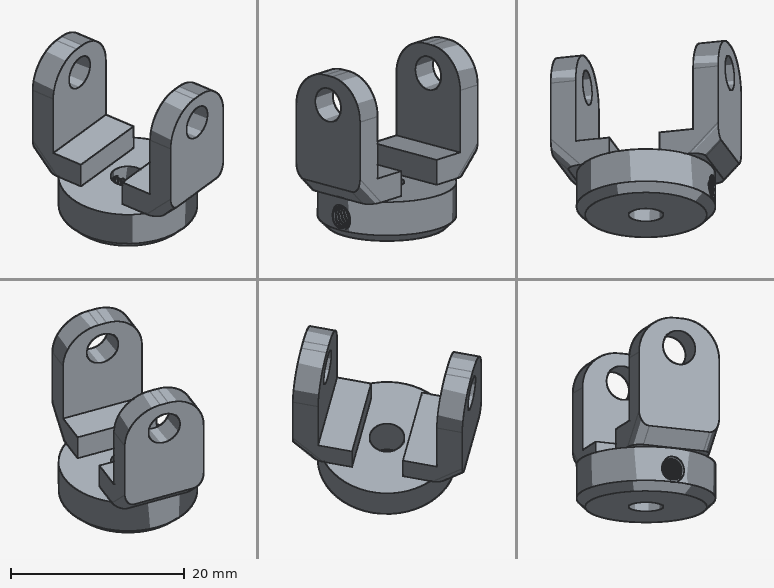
import cadquery as cq
import math

BASE_DIAMETER = 16.0
BASE_HEIGHT = 5.0
BASE_CHAMFER = 1.0
BORE_DIAMETER = 4.0

FORK_SPAN = 20.0
FORK_TOP = 20.0
ARM_WIDTH = 10.0
ARM_THICKNESS = 3.0
ARM_TOP_RADIUS = 4.5
FOOT_GAP = 6.0
FOOT_HEIGHT = 3.0
HEEL_CHAMFER = 1.8
HEEL_FILLET = 1.25
PIN_DIAMETER = 4.0
PIN_HEIGHT = 16.5

THREAD_MINOR_DIAMETER = 2.52
THREAD_MAJOR_DIAMETER = 3.0
THREAD_PITCH = 0.5
THREAD_ROOT_FLAT = THREAD_PITCH / 8
THREAD_FLANK_ANGLE = 30.0
THREAD_OVERRUN = 0.5
THREAD_GROOVE_OVERLAP = 0.05
THREAD_START_ANGLE = 180.0
SCREW_HEIGHT = BASE_HEIGHT / 2

HALF_SPAN = FORK_SPAN / 2


def make_base():
    """Disc standing on the XY plane, chamfered around its bottom edge."""
    disc = cq.Workplane("XY").circle(BASE_DIAMETER / 2).extrude(BASE_HEIGHT)
    return disc.faces("<Z").edges().chamfer(BASE_CHAMFER)


def make_arm():
    """Left arm: an L-shaped bar with a bevelled heel and a rounded top."""
    inner_face = -HALF_SPAN + ARM_THICKNESS
    foot_end = -FOOT_GAP / 2
    foot_top = BASE_HEIGHT + FOOT_HEIGHT
    outline = [
        (-HALF_SPAN + HEEL_CHAMFER, BASE_HEIGHT),
        (foot_end, BASE_HEIGHT),
        (foot_end, foot_top),
        (inner_face, foot_top),
        (inner_face, FORK_TOP),
        (-HALF_SPAN, FORK_TOP),
        (-HALF_SPAN, BASE_HEIGHT + HEEL_CHAMFER),
    ]
    arm = cq.Workplane("XZ").polyline(outline).close().extrude(ARM_WIDTH / 2, both=True)
    arm = arm.faces(">Z").edges("|X").fillet(ARM_TOP_RADIUS)

    heel_face = cq.selectors.DirectionMinMaxSelector(cq.Vector(-1, 0, -1), True)
    sloping_edges = cq.selectors.PerpendicularDirSelector(cq.Vector(0, 1, 0))
    return arm.faces(heel_face).edges(sloping_edges).fillet(HEEL_FILLET)


def make_pin_hole():
    """Cylinder along X that passes through both arms."""
    workplane = cq.Workplane("YZ").center(0, PIN_HEIGHT)
    return workplane.circle(PIN_DIAMETER / 2).extrude(HALF_SPAN, both=True)


def make_screw_hole():
    """Plain minor-diameter hole from the -X side into the central bore."""
    workplane = cq.Workplane("YZ").center(0, SCREW_HEIGHT)
    return workplane.circle(THREAD_MINOR_DIAMETER / 2).extrude(-BASE_DIAMETER / 2)


def make_thread_groove():
    """Helical groove with a flat root, cut into the wall of the screw hole."""
    minor_radius = THREAD_MINOR_DIAMETER / 2
    major_radius = THREAD_MAJOR_DIAMETER / 2
    crest_radius = minor_radius - THREAD_GROOVE_OVERLAP
    root_half_width = THREAD_ROOT_FLAT / 2
    flank_run = (major_radius - crest_radius) * math.tan(math.radians(THREAD_FLANK_ANGLE))
    mouth_half_width = root_half_width + flank_run
    length = (BASE_DIAMETER - BORE_DIAMETER) / 2 + 2 * THREAD_OVERRUN

    helix = cq.Wire.makeHelix(THREAD_PITCH, length, minor_radius)
    profile = [
        (crest_radius, -mouth_half_width),
        (major_radius, -root_half_width),
        (major_radius, root_half_width),
        (crest_radius, mouth_half_width),
    ]
    groove = cq.Workplane("XZ").polyline(profile).close().sweep(cq.Workplane(helix), isFrenet=True)

    groove = groove.rotate((0, 0, 0), (0, 0, 1), THREAD_START_ANGLE)
    groove = groove.rotate((0, 0, 0), (0, 1, 0), 90)
    return groove.translate((-BASE_DIAMETER / 2 - THREAD_OVERRUN, 0, SCREW_HEIGHT))


left_arm = make_arm()
right_arm = left_arm.mirror("YZ")
bore = cq.Workplane("XY").circle(BORE_DIAMETER / 2).extrude(FORK_TOP)

result = make_base().cut(make_screw_hole()).cut(make_thread_groove())
result = result.union(left_arm).union(right_arm)
result = result.cut(bore).cut(make_pin_hole()).solids()